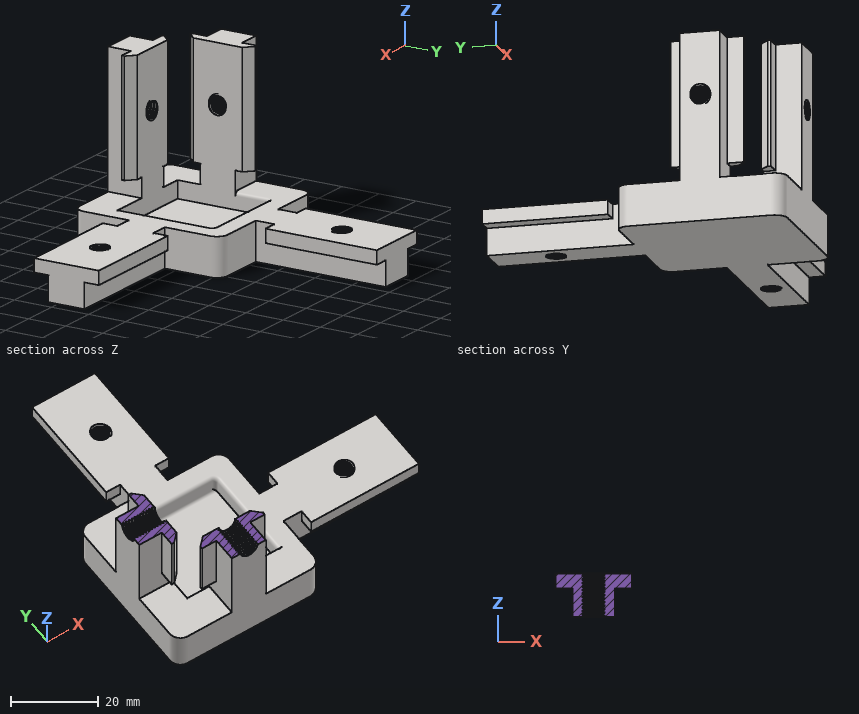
import cadquery as cq

BASE_SIZE = 40.0
BASE_HEIGHT = 10.0
BASE_CORNER_RADIUS = 3.0
HALF_BASE = BASE_SIZE / 2

BAR_REACH = 35.0
NECK_GAP = 5.0
HEAD_LENGTH = BAR_REACH - NECK_GAP
HEAD_MIDDLE = NECK_GAP + HEAD_LENGTH / 2
HEAD_WIDTH = 17.5

ARM_WEB_WIDTH = 9.75
ARM_HEAD_THICKNESS = 3.5

POST_WEB_WIDTH = 9.5
POST_WEB_DEPTH = 6.25
POST_HEAD_EDGE = 0.75
POST_BEVEL = 2.15
POST_DEPTH = POST_WEB_DEPTH + POST_HEAD_EDGE + POST_BEVEL
POST_FACE = -HALF_BASE + POST_DEPTH

POCKET_DEPTH = 4.5
POCKET_FAR_WALL = 14.3
POCKET_SIDE = POCKET_FAR_WALL - POST_FACE
POCKET_CORNER_RADIUS = 0.9
POCKET_RIM_RADIUS = 1.1
POCKET_FLOOR_RADIUS = 0.9
SELECTION_MARGIN = 0.05

THREAD_MINOR_DIAMETER = 4.23
THREAD_MAJOR_DIAMETER = 5.12
THREAD_PITCH = 0.8
THREAD_RUNOUT = 1.5 * THREAD_PITCH
GROOVE_ROOT_WIDTH = THREAD_PITCH / 8
GROOVE_MOUTH_WIDTH = THREAD_PITCH * 3 / 4
GROOVE_OVERLAP = 0.05

QUARTER_TURNS = (0, 90)


def thread_cutters(depth):
    """Helical groove and plain core, in cutting order, of a threaded hole from Z = 0 up to depth."""
    minor_radius = THREAD_MINOR_DIAMETER / 2
    major_radius = THREAD_MAJOR_DIAMETER / 2
    start = -THREAD_RUNOUT
    length = depth + 2 * THREAD_RUNOUT
    core = cq.Workplane("XY").circle(minor_radius).extrude(depth)
    helix = cq.Wire.makeHelix(THREAD_PITCH, length, minor_radius, center=cq.Vector(0, 0, start))
    groove = (
        cq.Workplane("XZ")
        .polyline([
            (minor_radius - GROOVE_OVERLAP, start - GROOVE_MOUTH_WIDTH / 2),
            (major_radius, start - GROOVE_ROOT_WIDTH / 2),
            (major_radius, start + GROOVE_ROOT_WIDTH / 2),
            (minor_radius - GROOVE_OVERLAP, start + GROOVE_MOUTH_WIDTH / 2),
        ])
        .close()
        .sweep(cq.Workplane(helix), isFrenet=True)
    )
    return groove, core


def make_base():
    base = cq.Workplane("XY").box(BASE_SIZE, BASE_SIZE, BASE_HEIGHT, centered=(True, True, False))
    return base.edges("|Z").fillet(BASE_CORNER_RADIUS)


def make_arm():
    """Arm along +X: a web as high as the base and a wider head along its top."""
    web = cq.Workplane("XY", origin=(HALF_BASE, 0, 0)).box(
        BAR_REACH, ARM_WEB_WIDTH, BASE_HEIGHT, centered=(False, True, False)
    )
    head_bottom = BASE_HEIGHT - ARM_HEAD_THICKNESS
    head = cq.Workplane("XY", origin=(HALF_BASE + NECK_GAP, 0, head_bottom)).box(
        HEAD_LENGTH, HEAD_WIDTH, ARM_HEAD_THICKNESS, centered=(False, True, False)
    )
    return web.union(head)


def make_post():
    """Post on the -X side of the base: a full-height web and a bevelled head facing +X."""
    web = cq.Workplane("XY", origin=(-HALF_BASE, 0, 0)).box(
        POST_DEPTH, POST_WEB_WIDTH, BASE_HEIGHT + BAR_REACH, centered=(False, True, False)
    )
    head_back = -HALF_BASE + POST_WEB_DEPTH
    bevel_start = head_back + POST_HEAD_EDGE
    half_width = HEAD_WIDTH / 2
    half_face = half_width - POST_BEVEL
    head = (
        cq.Workplane("XY", origin=(0, 0, BASE_HEIGHT + NECK_GAP))
        .polyline([
            (head_back, -half_width),
            (bevel_start, -half_width),
            (POST_FACE, -half_face),
            (POST_FACE, half_face),
            (bevel_start, half_width),
            (head_back, half_width),
        ])
        .close()
        .extrude(HEAD_LENGTH)
    )
    return web.union(head)


def make_pocket():
    """Square pocket volume with rounded far corners and one rounded floor edge on the +Y side."""
    block = (
        cq.Workplane("XY", origin=(POST_FACE, POST_FACE, BASE_HEIGHT - POCKET_DEPTH))
        .box(POCKET_SIDE, POCKET_SIDE, POCKET_DEPTH, centered=False)
    )
    with_corners = block.edges("|Z and >Y").fillet(POCKET_CORNER_RADIUS)
    with_floor_round = block.faces("<Z").edges(">Y").fillet(POCKET_FLOOR_RADIUS)
    return with_corners.intersect(with_floor_round)


def round_pocket_rim(body):
    """Round the pocket's top edge from the -X post round the far corners to the front wall."""
    far_side = POCKET_FAR_WALL + SELECTION_MARGIN
    rim_box = cq.selectors.BoxSelector(
        (POST_FACE - SELECTION_MARGIN, 0, BASE_HEIGHT - SELECTION_MARGIN),
        (far_side, far_side, BASE_HEIGHT + SELECTION_MARGIN),
    )
    return body.edges(rim_box).fillet(POCKET_RIM_RADIUS)


def place_on_arm(cutter):
    """Move a +Z cutter to the middle of the arm's head, running up through the arm."""
    return cutter.translate((HALF_BASE + HEAD_MIDDLE, 0, 0))


def place_on_post(cutter):
    """Turn a +Z cutter to run along +X through the middle of the post's head."""
    turned = cutter.rotate((0, 0, 0), (0, 1, 0), 90)
    return turned.translate((-HALF_BASE, 0, BASE_HEIGHT + HEAD_MIDDLE))


def turn_about_z(shape, angle):
    return shape.rotate((0, 0, 0), (0, 0, 1), angle)


arm = make_arm()
for cutter in thread_cutters(BASE_HEIGHT):
    arm = arm.cut(place_on_arm(cutter))

post = make_post()
for cutter in thread_cutters(POST_DEPTH):
    post = post.cut(place_on_post(cutter))

body = make_base()
for angle in QUARTER_TURNS:
    body = body.union(turn_about_z(post, angle))
body = round_pocket_rim(body.cut(make_pocket()))
for angle in QUARTER_TURNS:
    body = body.union(turn_about_z(arm, angle))

result = body